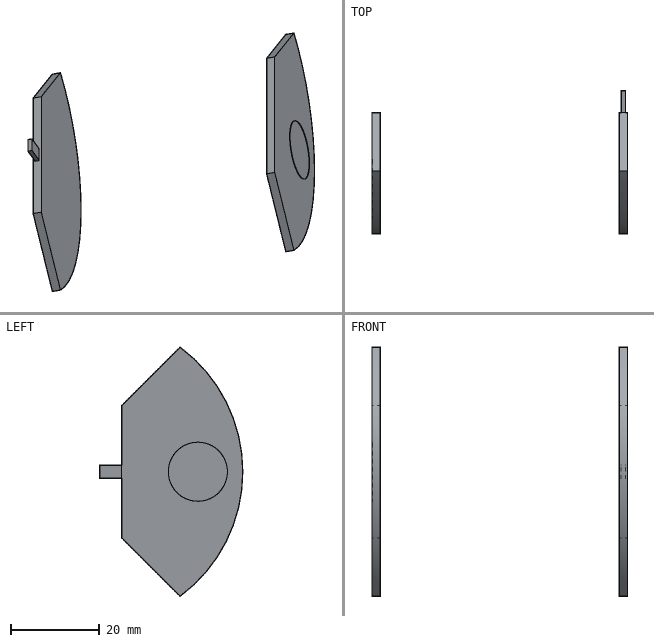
import cadquery as cq

OVERALL_WIDTH = 58.0
OVERALL_DEPTH = 32.5
PLATE_HEIGHT = 56.5

PLATE_THICKNESS = 2.0
BACK_EDGE_HEIGHT = 30.0

TAB_LENGTH = 5.0
TAB_HEIGHT = 3.0
TAB_THICKNESS = 1.0

RECESS_DIAMETER = 13.4
RECESS_DEPTH = 0.1
RECESS_FROM_ARC_CREST = 10.2

BACK_Y = OVERALL_DEPTH - TAB_LENGTH
CORNER_Z = PLATE_HEIGHT / 2
BACK_EDGE_Z = BACK_EDGE_HEIGHT / 2
CORNER_Y = BACK_Y - (CORNER_Z - BACK_EDGE_Z)
TABBED_PLATE_X = OVERALL_WIDTH - PLATE_THICKNESS


def make_plate(start_x):
    """Sector-like plate with an arc front edge, extruded toward +X from start_x."""
    return (
        cq.Workplane("YZ", origin=(start_x, 0, 0))
        .moveTo(BACK_Y, -BACK_EDGE_Z)
        .lineTo(CORNER_Y, -CORNER_Z)
        .threePointArc((0, 0), (CORNER_Y, CORNER_Z))
        .lineTo(BACK_Y, BACK_EDGE_Z)
        .close()
        .extrude(PLATE_THICKNESS)
    )


def make_recessed_plate():
    """Plate at the -X end with a shallow round recess in its -X face."""
    recess = (
        cq.Workplane("YZ")
        .center(RECESS_FROM_ARC_CREST, 0)
        .circle(RECESS_DIAMETER / 2)
        .extrude(RECESS_DEPTH)
    )
    return make_plate(0).cut(recess)


def make_tabbed_plate():
    """Plate at the +X end with a tab centred on its back edge."""
    tab = cq.Workplane("XY").box(
        TAB_THICKNESS, TAB_LENGTH, TAB_HEIGHT, centered=(True, False, True)
    )
    tab_x = TABBED_PLATE_X + PLATE_THICKNESS / 2
    return make_plate(TABBED_PLATE_X).union(tab.translate((tab_x, BACK_Y, 0)))


recessed_plate = make_recessed_plate()
tabbed_plate = make_tabbed_plate()

result = cq.Compound.makeCompound([recessed_plate.val(), tabbed_plate.val()])